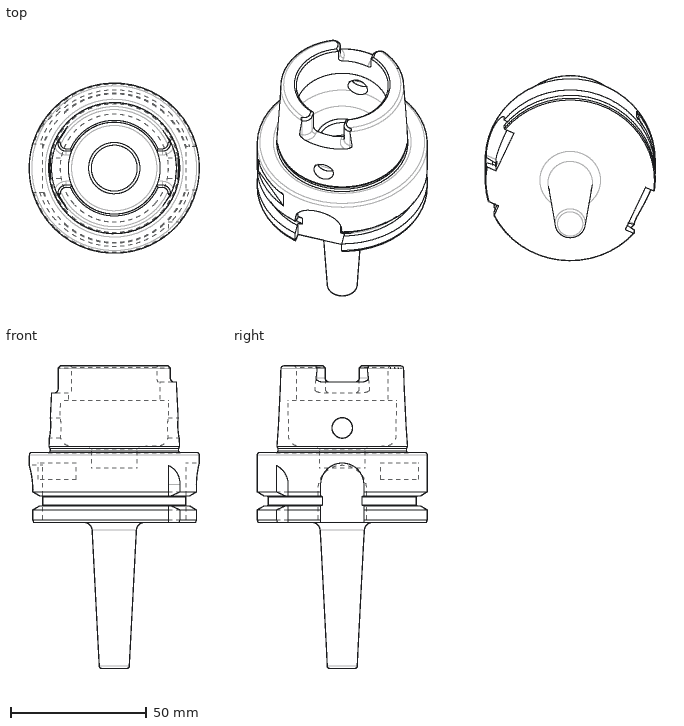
import cadquery as cq
import math


shank_length = 32.0
taper_per_mm = 0.05
gauge_radius = 24.005
gauge_height = 6.3
rim_fillet = 1.1
lug_edge_chamfer = 0.9
bore_radius = 17.0
bore_rim_chamfer = 0.7
bore_step_z = 19.1
cavity_radius = 20.0
cavity_floor_z = 2.2
cavity_floor_fillet = 4.2
center_hole_radius = 8.5
center_hole_depth = 8.0
center_hole_chamfer = 1.0
cross_hole_diameter = 7.5
cross_hole_z = 9.0

relief_top_z = 2.15
relief_radius = 23.8
relief_neck_top_z = 1.3
relief_neck_bottom_z = 0.45
relief_bottom_z = -0.35
relief_face_radius = 25.5
relief_corner_radius = 24.3

rim_slot_half_width = 6.25
rim_slot_flare_radius = 3.0
rim_slot_outer_x = 20.8
rim_slot_floor_fillet = 1.4
rim_slot_depth_left = 10.0
rim_slot_depth_right = 6.0

flange_radius = 31.5
flange_height = 26.0
flange_top_fillet = 1.0
flange_bottom_chamfer_radial = 0.35
flange_bottom_chamfer_axial = 1.0
groove_center_z = -18.0
groove_radius = 27.5
groove_half_width = 1.8
groove_bevel_half_width = 3.35
groove_bevel_radial = 2.5
groove_corner_fillet = 0.3

drive_slot_floor = 26.5
left_slot_radius = 9.0
left_slot_center_z = -13.8
right_slot_radius = 8.0
right_slot_center_z = -12.0
notch_floor = 20.0
notch_wall_y = -20.0

pocket_angle = 135.0
pocket_floor = 29.9
pocket_width = 20.0
pocket_height = 6.1
pocket_center_z = -6.95

nose_tip_z = -80.0
nose_tip_radius = 5.55
nose_half_angle = 3.0
nose_tip_fillet = 0.9
nose_root_fillet = 3.0

clearance = 10.0
block_half_width = flange_radius + clearance


def shank_radius(z):
    return gauge_radius - taper_per_mm * (z - gauge_height)


def make_body():
    """Solid of revolution: nose, grooved flange and tapered shank."""
    nose_length = -flange_height - nose_tip_z
    nose_root_radius = nose_tip_radius + nose_length * math.tan(math.radians(nose_half_angle))
    bevel_radius = flange_radius - groove_bevel_radial
    outline = [
        (0, nose_tip_z),
        (nose_tip_radius, nose_tip_z),
        (nose_root_radius, -flange_height),
        (flange_radius - flange_bottom_chamfer_radial, -flange_height),
        (flange_radius, -flange_height + flange_bottom_chamfer_axial),
        (flange_radius, groove_center_z - groove_bevel_half_width),
        (bevel_radius, groove_center_z - groove_half_width),
        (groove_radius, groove_center_z - groove_half_width),
        (groove_radius, groove_center_z + groove_half_width),
        (bevel_radius, groove_center_z + groove_half_width),
        (flange_radius, groove_center_z + groove_bevel_half_width),
        (flange_radius, 0),
        (relief_face_radius, 0),
        (relief_corner_radius, relief_bottom_z),
        (relief_radius, relief_neck_bottom_z),
        (relief_radius, relief_neck_top_z),
        (shank_radius(relief_top_z), relief_top_z),
        (shank_radius(shank_length), shank_length),
        (0, shank_length),
    ]
    body = cq.Workplane("XZ").polyline(outline).close().revolve(360, (0, 0, 0), (0, 1, 0))
    body = round_circle(body, nose_tip_radius, nose_tip_z, nose_tip_fillet)
    body = round_circle(body, nose_root_radius, -flange_height, nose_root_fillet)
    body = round_circle(body, shank_radius(shank_length), shank_length, rim_fillet)
    body = round_circle(body, flange_radius, 0, flange_top_fillet)
    for side in (-1, 1):
        corner_z = groove_center_z + side * groove_half_width
        body = round_circle(body, groove_radius, corner_z, groove_corner_fillet)
    return body


def round_circle(body, radius, z, fillet_radius):
    """Fillet the circular edge of the given radius and height."""
    tolerance = 0.01
    half_size = radius + tolerance
    outer_box = cq.selectors.BoxSelector(
        (-half_size, -half_size, z - tolerance),
        (half_size, half_size, z + tolerance),
        boundingbox=True,
    )
    inner_half_size = radius - tolerance
    inner_box = cq.selectors.BoxSelector(
        (-inner_half_size, -inner_half_size, z - tolerance),
        (inner_half_size, inner_half_size, z + tolerance),
        boundingbox=True,
    )
    return body.edges(outer_box - inner_box).fillet(fillet_radius)


def rim_slot(depth):
    """Cutter for one rim slot, opening toward +X, with a rounded floor edge."""
    flare_start_x = rim_slot_outer_x - rim_slot_flare_radius
    flare_end_y = rim_slot_half_width + rim_slot_flare_radius
    diagonal = rim_slot_flare_radius * math.sqrt(0.5)
    flare_mid_x = flare_start_x + diagonal
    flare_mid_y = flare_end_y - diagonal
    outer = block_half_width
    slot = (
        cq.Workplane("XY", origin=(0, 0, shank_length - depth))
        .moveTo(0, -rim_slot_half_width)
        .lineTo(flare_start_x, -rim_slot_half_width)
        .threePointArc((flare_mid_x, -flare_mid_y), (rim_slot_outer_x, -flare_end_y))
        .lineTo(rim_slot_outer_x, -outer)
        .lineTo(outer, -outer)
        .lineTo(outer, outer)
        .lineTo(rim_slot_outer_x, outer)
        .lineTo(rim_slot_outer_x, flare_end_y)
        .threePointArc((flare_mid_x, flare_mid_y), (flare_start_x, rim_slot_half_width))
        .lineTo(0, rim_slot_half_width)
        .close()
        .extrude(depth + clearance)
    )
    half_clearance = clearance / 2
    lug_walls = cq.selectors.BoxSelector(
        (half_clearance, -outer, 0),
        (rim_slot_outer_x + half_clearance, outer, shank_length),
    )
    return slot.faces("<Z").edges(lug_walls).fillet(rim_slot_floor_fillet)


def make_slotted_block():
    """Oversize block with both rim slots, chamfered along their upper edges."""
    block_height = shank_length - nose_tip_z
    block = cq.Workplane("XY", origin=(0, 0, nose_tip_z)).box(
        2 * block_half_width, 2 * block_half_width, block_height, centered=(True, True, False)
    )
    left_slot = rim_slot(rim_slot_depth_left).rotate((0, 0, 0), (0, 0, 1), 180)
    right_slot = rim_slot(rim_slot_depth_right)
    block = block.cut(left_slot).cut(right_slot)
    slot_edges = cq.selectors.BoxSelector(
        (-flange_radius, -flange_radius, 0),
        (flange_radius, flange_radius, shank_length + clearance),
    )
    return block.faces(">Z").edges(slot_edges).chamfer(lug_edge_chamfer)


def make_bore():
    """Cavity of the shank: rim chamfer, bore, wider chamber and center hole."""
    chamber_height = bore_step_z - cavity_floor_z
    bore_height = shank_length - bore_step_z
    bore = cq.Workplane("XY", origin=(0, 0, bore_step_z)).circle(bore_radius).extrude(bore_height)
    chamber = (
        cq.Workplane("XY", origin=(0, 0, cavity_floor_z))
        .circle(cavity_radius)
        .extrude(chamber_height)
        .faces("<Z")
        .edges()
        .fillet(cavity_floor_fillet)
    )
    hole_floor_z = cavity_floor_z - center_hole_depth
    hole = cq.Workplane("XY", origin=(0, 0, hole_floor_z)).circle(center_hole_radius).extrude(
        center_hole_depth
    )
    hole_chamfer = countersink(center_hole_radius, center_hole_chamfer, cavity_floor_z)
    rim_chamfer = countersink(bore_radius, bore_rim_chamfer, shank_length)
    return chamber.union(bore).union(hole).union(hole_chamfer).union(rim_chamfer)


def countersink(radius, size, top_z):
    """45 degree cone that chamfers the upper edge of a hole."""
    cone = cq.Solid.makeCone(radius, radius + size, size, pnt=cq.Vector(0, 0, top_z - size))
    return cq.Workplane(cone)


def make_cross_hole():
    """Hole along X through both walls of the shank."""
    length = 2 * (gauge_radius + clearance)
    return (
        cq.Workplane("YZ", origin=(-length / 2, 0, 0))
        .center(0, cross_hole_z)
        .circle(cross_hole_diameter / 2)
        .extrude(length)
    )


def flange_slot(radius, center_y, center_z, floor_x):
    """Cutter for a slot opening toward +X and downward, with a round upper end."""
    depth = flange_radius + clearance - floor_x
    bottom_z = -flange_height
    return (
        cq.Workplane("YZ", origin=(floor_x, 0, 0))
        .moveTo(center_y - radius, bottom_z)
        .lineTo(center_y - radius, center_z)
        .threePointArc((center_y, center_z + radius), (center_y + radius, center_z))
        .lineTo(center_y + radius, bottom_z)
        .close()
        .extrude(depth)
    )


def cut_flange_slots(body):
    left_slot = flange_slot(left_slot_radius, 0, left_slot_center_z, drive_slot_floor)
    left_slot = left_slot.rotate((0, 0, 0), (0, 0, 1), 180)
    right_slot = flange_slot(right_slot_radius, 0, right_slot_center_z, drive_slot_floor)
    notch_center_y = notch_wall_y - right_slot_radius
    notch = flange_slot(right_slot_radius, notch_center_y, right_slot_center_z, notch_floor)
    return body.cut(left_slot).cut(right_slot).cut(notch)


def make_pocket():
    """Flat rectangular pocket in the flange rim."""
    pocket = cq.Workplane("XY").box(
        clearance, pocket_width, pocket_height, centered=(False, True, True)
    )
    pocket = pocket.translate((pocket_floor, 0, pocket_center_z))
    return pocket.rotate((0, 0, 0), (0, 0, 1), pocket_angle)


body = make_body()
body = body.intersect(make_slotted_block())
body = body.cut(make_bore())
body = body.cut(make_cross_hole())
body = cut_flange_slots(body)
result = body.cut(make_pocket())